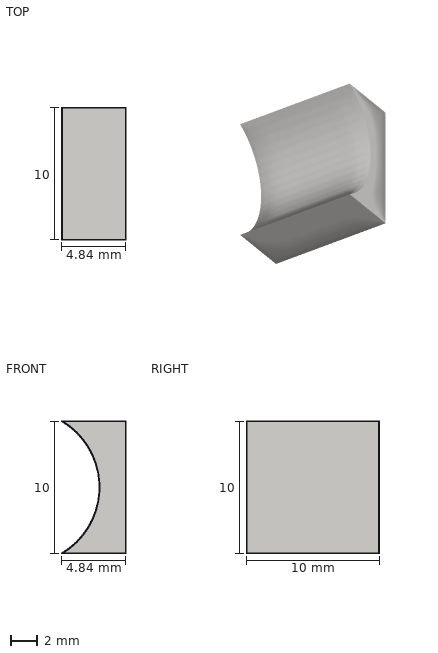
import cadquery as cq

length = 10.0
height = 10.0
depth = 4.84
wall = 2.0

back_x = depth / 2
front_x = -depth / 2
trough_x = back_x - wall
half_height = height / 2

result = (
    cq.Workplane("XZ")
    .moveTo(front_x, -half_height)
    .lineTo(back_x, -half_height)
    .lineTo(back_x, half_height)
    .lineTo(front_x, half_height)
    .threePointArc((trough_x, 0), (front_x, -half_height))
    .close()
    .extrude(length / 2, both=True)
)